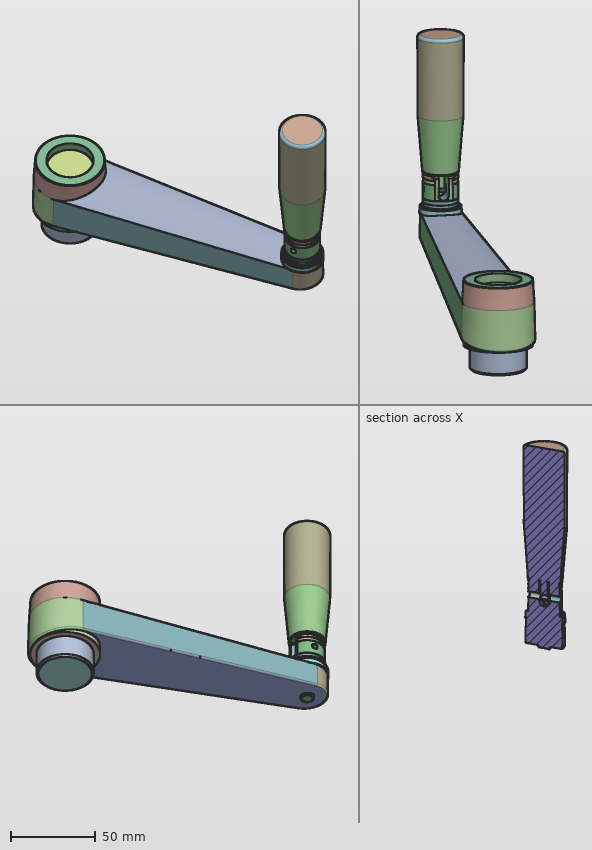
import cadquery as cq
import math

TOTAL_LENGTH = 196
TOTAL_HEIGHT = 165.3
HUB_RADIUS = 22.2
GRIP_RADIUS = 14.0
HANDLE_X = TOTAL_LENGTH - HUB_RADIUS - GRIP_RADIUS

SPIGOT_RADIUS = 17.0
SPIGOT_CHAMFER = 1.2
COLLAR_RADIUS = 20.8
COLLAR_BOTTOM = 15.0
HUB_SEAM_Z = 41.2
HUB_SEAM_RADIUS = 21.5
HUB_TOP_Z = 54.9
HUB_TOP_RADIUS = 20.8
HUB_TOP_CHAMFER = 0.4
RECESS_RADIUS = 14.0
RECESS_DEPTH = 5.5

ARM_DRAFT = math.degrees(math.atan2(HUB_RADIUS - HUB_SEAM_RADIUS, HUB_SEAM_Z - COLLAR_BOTTOM))
TIP_RADIUS = 13.1
TIP_BOTTOM_Z = 40.0
TIP_SEAM_Z = 56.0
TIP_CROWN_Z = 58.5
HUB_CROWN_Z = 44.7
ARM_BOTTOM_FILLET = 1.2
UNDERSIDE_SLOPE = (TIP_BOTTOM_Z - COLLAR_BOTTOM) / (HANDLE_X + HUB_RADIUS)
HUB_UNDERSIDE_Z = COLLAR_BOTTOM + UNDERSIDE_SLOPE * HUB_RADIUS
ENVELOPE_MARGIN = 1.1

BOSS_SEAM_RADIUS = 12.7
BOSS_TOP_RADIUS = 12.5
BOSS_TOP_Z = 60.5
BOSS_CHAMFER = 0.8
RIVET_RADIUS = 4.1
RIVET_BOTTOM_Z = 38.6
RIVET_CHAMFER = 0.8

LOWER_WASHER_RADIUS = 10.5
UPPER_WASHER_RADIUS = 10.8
WASHER_SEAM_Z = 62.7
WASHER_TOP_Z = 65.3
NECK_RADIUS = 10.5
BAND_RADIUS = 10.49
BAND_BOTTOM_Z = 75.0
BAND_TOP_Z = 77.6
NECK_TOP_Z = 80.4
RELIEF_RADIUS = 10.0
GRIP_BOTTOM_Z = 81.0
GRIP_BOTTOM_RADIUS = 11.0
GRIP_BOTTOM_CHAMFER = 0.5
GRIP_SEAM_Z = 115.5
GRIP_SEAM_RADIUS = 13.7
GRIP_TOP_FILLET = 2.0

FLAT_WIDTH = 11.0
FLAT_TOP_CHAMFER = 1.5
SLOT_WIDTH = 6.0
ROD_DIAMETER = 4.9
EYE_DIAMETER = 5.5
EYE_BORE_DIAMETER = 2.4
PIN_HOLE_DIAMETER = 3.5
PIN_Z = 71.2


def along(start, end, x):
    """Value at x of the line from `start` on the hub axis to `end` on the handle axis."""
    return start + (end - start) * x / HANDLE_X


def block(x_start, x_end, width, z_start, z_end):
    """Box centred on y = 0."""
    return cq.Workplane("XY", origin=(x_start, 0, z_start)).box(
        x_end - x_start, width, z_end - z_start, centered=(False, True, False)
    )


def revolve_at(x, profile):
    """Solid of revolution about the vertical axis at x; the profile is a list of (radius, z)."""
    closed = [(0, profile[0][1])] + profile + [(0, profile[-1][1])]
    return (
        cq.Workplane("XZ").polyline(closed).close()
        .revolve(360, (0, 0, 0), (0, 1, 0)).translate((x, 0, 0))
    )


def arm_plan(height):
    """Drafted block whose plan is two circles joined by their common tangents."""
    cos_t = (HUB_RADIUS - TIP_RADIUS) / HANDLE_X
    sin_t = math.sqrt(1 - cos_t**2)
    hub_tangent = (HUB_RADIUS * cos_t, HUB_RADIUS * sin_t)
    tip_tangent = (HANDLE_X + TIP_RADIUS * cos_t, TIP_RADIUS * sin_t)
    return (
        cq.Workplane("XY", origin=(0, 0, COLLAR_BOTTOM))
        .moveTo(*hub_tangent)
        .threePointArc((-HUB_RADIUS, 0), (hub_tangent[0], -hub_tangent[1]))
        .lineTo(tip_tangent[0], -tip_tangent[1])
        .threePointArc((HANDLE_X + TIP_RADIUS, 0), tip_tangent)
        .close()
        .extrude(height, taper=ARM_DRAFT)
    )


def arm_envelope():
    """Sloping body with a flat underside and a crowned top, slightly wider than the arm."""
    sections = []
    for x in (-ENVELOPE_MARGIN * HUB_RADIUS, HANDLE_X + ENVELOPE_MARGIN * TIP_RADIUS):
        half_width = along(HUB_SEAM_RADIUS, BOSS_SEAM_RADIUS, x)
        bottom = along(HUB_UNDERSIDE_Z, TIP_BOTTOM_Z, x)
        edge = along(HUB_SEAM_Z, TIP_SEAM_Z, x)
        crown = along(HUB_CROWN_Z, TIP_CROWN_Z, x)
        rise = crown - edge
        arc_radius = (half_width**2 + rise**2) / (2 * rise)
        wide = ENVELOPE_MARGIN * half_width
        wide_z = crown - arc_radius + math.sqrt(arc_radius**2 - wide**2)
        section = (
            cq.Workplane("YZ", origin=(x, 0, 0))
            .moveTo(-wide, bottom).lineTo(wide, bottom).lineTo(wide, wide_z)
            .threePointArc((0, crown), (-wide, wide_z)).close()
        )
        sections.append(section.val())
    return cq.Workplane(cq.Solid.makeLoft(sections, True))


def arm():
    """Drafted, crowned arm, cut off level at the seam on the back half of the hub."""
    body = arm_plan(BOSS_TOP_Z - COLLAR_BOTTOM).intersect(arm_envelope())
    body = body.faces("<Z").edges().fillet(ARM_BOTTOM_FILLET)
    above_seam = block(-2 * HUB_RADIUS, 0, 2 * HUB_RADIUS, HUB_SEAM_Z, BOSS_TOP_Z)
    return body.cut(above_seam)


def hub_recess():
    floor = cq.Workplane("XY", origin=(0, 0, HUB_TOP_Z - RECESS_DEPTH))
    return floor.circle(RECESS_RADIUS).extrude(RECESS_DEPTH)


def hub():
    """Spigot, collar and drafted barrel; below its seam the barrel lies inside the arm."""
    spigot = revolve_at(0, [
        (SPIGOT_RADIUS - SPIGOT_CHAMFER, 0),
        (SPIGOT_RADIUS, SPIGOT_CHAMFER),
        (SPIGOT_RADIUS, COLLAR_BOTTOM),
        (COLLAR_RADIUS, COLLAR_BOTTOM),
        (COLLAR_RADIUS, HUB_SEAM_Z),
    ])
    barrel = revolve_at(0, [
        ((HUB_RADIUS + HUB_SEAM_RADIUS) / 2, (COLLAR_BOTTOM + HUB_SEAM_Z) / 2),
        (HUB_SEAM_RADIUS, HUB_SEAM_Z),
        (HUB_TOP_RADIUS, HUB_TOP_Z - HUB_TOP_CHAMFER),
        (HUB_TOP_RADIUS - HUB_TOP_CHAMFER, HUB_TOP_Z),
    ])
    return spigot.union(barrel).cut(hub_recess())


def boss():
    """Tapered boss on the arm tip, with the rivet that shows below the arm."""
    return revolve_at(HANDLE_X, [
        (RIVET_RADIUS - RIVET_CHAMFER, RIVET_BOTTOM_Z),
        (RIVET_RADIUS, RIVET_BOTTOM_Z + RIVET_CHAMFER),
        (RIVET_RADIUS, TIP_SEAM_Z),
        (BOSS_SEAM_RADIUS, TIP_SEAM_Z),
        (BOSS_TOP_RADIUS, BOSS_TOP_Z - BOSS_CHAMFER),
        (BOSS_TOP_RADIUS - BOSS_CHAMFER, BOSS_TOP_Z),
    ])


def washers():
    """Two stacked washers between the boss and the neck."""
    return revolve_at(HANDLE_X, [
        (LOWER_WASHER_RADIUS, BOSS_TOP_Z),
        (LOWER_WASHER_RADIUS, WASHER_SEAM_Z),
        (UPPER_WASHER_RADIUS, WASHER_SEAM_Z),
        (UPPER_WASHER_RADIUS, WASHER_TOP_Z),
    ])


def neck():
    """Neck with a shallow band, and a relief just under the grip."""
    return revolve_at(HANDLE_X, [
        (NECK_RADIUS, WASHER_TOP_Z),
        (NECK_RADIUS, BAND_BOTTOM_Z),
        (BAND_RADIUS, BAND_BOTTOM_Z),
        (BAND_RADIUS, BAND_TOP_Z),
        (NECK_RADIUS, BAND_TOP_Z),
        (NECK_RADIUS, NECK_TOP_Z),
        (RELIEF_RADIUS, NECK_TOP_Z),
        (RELIEF_RADIUS, GRIP_BOTTOM_Z),
    ])


def grip():
    """Grip that widens to its seam and then slightly to a rounded top."""
    body = revolve_at(HANDLE_X, [
        (GRIP_BOTTOM_RADIUS - GRIP_BOTTOM_CHAMFER, GRIP_BOTTOM_Z),
        (GRIP_BOTTOM_RADIUS, GRIP_BOTTOM_Z + GRIP_BOTTOM_CHAMFER),
        (GRIP_SEAM_RADIUS, GRIP_SEAM_Z),
        (GRIP_RADIUS, TOTAL_HEIGHT - GRIP_TOP_FILLET),
        (GRIP_RADIUS, TOTAL_HEIGHT),
    ])
    return body.faces(">Z").edges().fillet(GRIP_TOP_FILLET)


def hinge_opening():
    """Flat on the hub side of the neck, chamfered at its top, with a round-bottomed slot sunk into it."""
    flat_x = -math.sqrt(NECK_RADIUS**2 - (FLAT_WIDTH / 2) ** 2)
    outside_x = -2 * NECK_RADIUS
    flat = (
        cq.Workplane("XZ", origin=(HANDLE_X, 0, 0))
        .polyline([
            (outside_x, WASHER_TOP_Z),
            (flat_x, WASHER_TOP_Z),
            (flat_x, NECK_TOP_Z - FLAT_TOP_CHAMFER),
            (flat_x + FLAT_TOP_CHAMFER, NECK_TOP_Z),
            (outside_x, NECK_TOP_Z),
        ])
        .close().extrude(NECK_RADIUS, both=True)
    )
    slot_radius = SLOT_WIDTH / 2
    bottom_z = WASHER_TOP_Z + slot_radius
    slot = block(HANDLE_X + outside_x, HANDLE_X + slot_radius, SLOT_WIDTH, bottom_z, GRIP_BOTTOM_Z)
    slot_bottom = (
        cq.Workplane("YZ", origin=(HANDLE_X + outside_x, 0, bottom_z))
        .circle(slot_radius).extrude(slot_radius - outside_x)
    )
    return flat.union(slot).union(slot_bottom)


def cross_pin(diameter, length):
    """Cylinder along Y on the hinge pin axis, centred on the handle axis."""
    return (
        cq.Workplane("XZ", origin=(HANDLE_X, length / 2, PIN_Z))
        .circle(diameter / 2).extrude(length)
    )


def hinge_eye():
    """Round rod hanging from the grip, ending in the bored lower half of a barrel about the pin."""
    rod = (
        cq.Workplane("XY", origin=(HANDLE_X, 0, PIN_Z))
        .circle(ROD_DIAMETER / 2).extrude(GRIP_BOTTOM_Z - PIN_Z)
    )
    radius = EYE_DIAMETER / 2
    lower_half = block(HANDLE_X - radius, HANDLE_X + radius, EYE_DIAMETER, PIN_Z - radius, PIN_Z)
    barrel = cross_pin(EYE_DIAMETER, EYE_DIAMETER).intersect(lower_half)
    return rod.union(barrel).cut(cross_pin(EYE_BORE_DIAMETER, EYE_DIAMETER))


crank = arm().union(hub()).union(boss())
pin_hole = cross_pin(PIN_HOLE_DIAMETER, 2 * NECK_RADIUS)
pivot = neck().cut(hinge_opening()).cut(pin_hole).union(hinge_eye())
result = crank.union(washers()).union(pivot).union(grip())